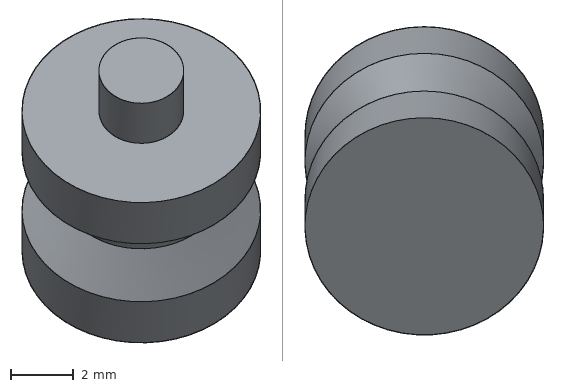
import cadquery as cq

total_height = 9.0
body_diameter = 7.6
neck_diameter = 5.2
neck_height = 0.5
pin_diameter = 2.7
pin_height = 2.0

body_radius = body_diameter / 2
neck_radius = neck_diameter / 2
body_height = total_height - pin_height
flank_height = body_radius - neck_radius
rim_height = (body_height - neck_height - 2 * flank_height) / 2
neck_bottom = rim_height + flank_height
neck_top = neck_bottom + neck_height


def grooved_body():
    """Revolve the half section (radius, height) of the spool about Z."""
    return (
        cq.Workplane("XZ")
        .moveTo(0, 0)
        .lineTo(body_radius, 0)
        .lineTo(body_radius, rim_height)
        .lineTo(neck_radius, neck_bottom)
        .lineTo(neck_radius, neck_top)
        .lineTo(body_radius, body_height - rim_height)
        .lineTo(body_radius, body_height)
        .lineTo(0, body_height)
        .close()
        .revolve(360, (0, 0, 0), (0, 1, 0))
    )


def add_pin(body):
    """Add the round pin standing on the centre of the top face."""
    return body.faces(">Z").workplane(origin=(0, 0, 0)).circle(pin_diameter / 2).extrude(pin_height)


result = add_pin(grooved_body())